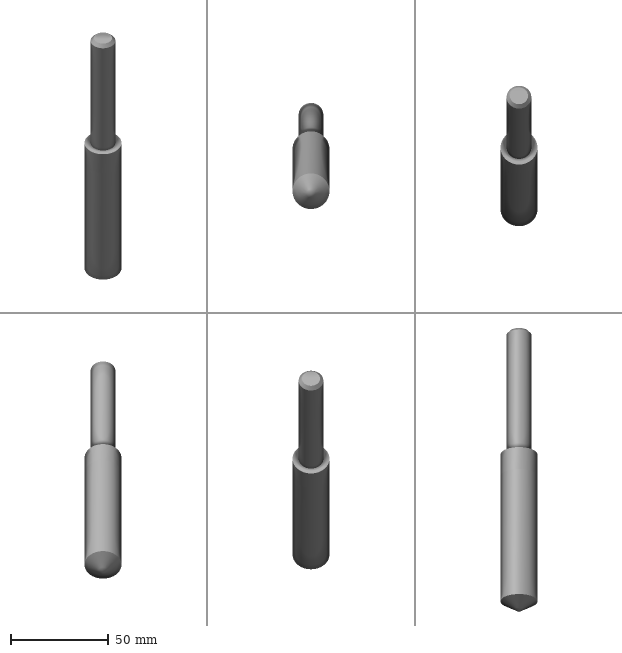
import cadquery as cq

total_length = 157.0
body_diameter = 19.0
shank_diameter = 12.7

point_height = 6.0
joint_height = 76.0
shoulder_height = 88.2

shank_chamfer = 1.7

body_radius = body_diameter / 2


def make_tip():
    """Lower body: a plain cylinder ending in a conical point."""
    profile = (
        cq.Workplane("XZ")
        .moveTo(0, 0)
        .lineTo(body_radius, point_height)
        .lineTo(body_radius, joint_height)
        .lineTo(0, joint_height)
        .close()
    )
    return profile.revolve(360, (0, 0, 0), (0, 1, 0))


def make_holder():
    """Upper body: a collar flush with the tip, carrying the chamfered shank."""
    collar = (
        cq.Workplane("XY")
        .workplane(offset=joint_height)
        .circle(body_radius)
        .extrude(shoulder_height - joint_height)
    )
    shank = (
        cq.Workplane("XY")
        .workplane(offset=shoulder_height)
        .circle(shank_diameter / 2)
        .extrude(total_length - shoulder_height)
        .faces(">Z")
        .chamfer(shank_chamfer)
    )
    return collar.union(shank)


tip = make_tip()
holder = make_holder()

result = cq.Compound.makeCompound([tip.val(), holder.val()])